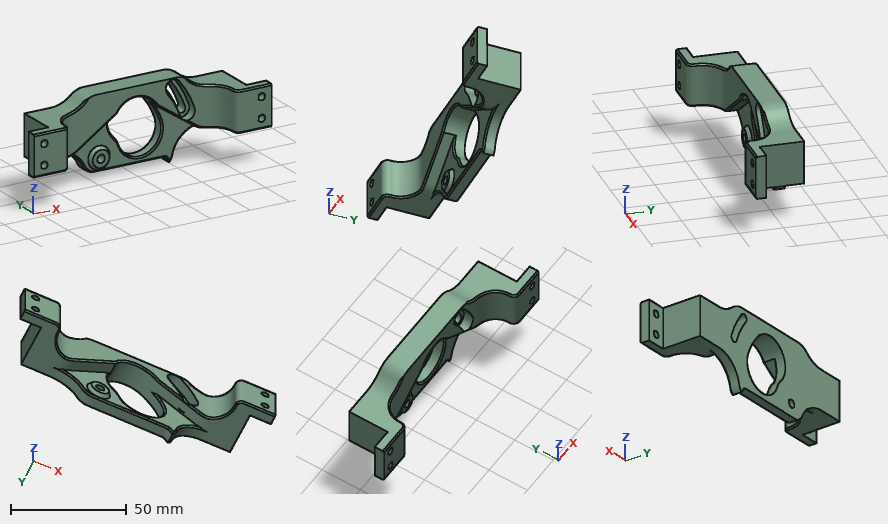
import cadquery as cq
import math


half_length = 60
block_end_x = 50.0
arm_inner_x = 42
flange_front = 24.8
flange_back = 20.0
upper_thickness = 11.2
flange_round = 3.0
arm_round = 10.0

arm_height = 19.9
plate_top = 26.3
top_flat_half = 20.0
shoulder_round = 10.0
valley_radius = 15.0
edge_chamfer = 0.7

slope_angle = math.radians(34)
slope_foot_x = 32.4
slope_foot_round = 10.0
slope_top_x = 3.6

lower_thickness = 5.4
lower_bottom = -12
lower_corner_round = 6
spur_tip = (20.3, -15.0)
spur_slope = math.radians(54)
spur_bend_radius = 1.5
spur_shoulder_z = -12

window_center_z = arm_height / 2
window_radius = 11.0
pivot_distance = 22.0
window_start = math.radians(19.7)
window_end = math.radians(45)
pivot_x = -pivot_distance * math.cos(window_end)
pivot_z = window_center_z - pivot_distance * math.sin(window_end)

slot_distance = 43.8
slot_start = math.radians(19.8)
slot_end = math.radians(38.8)
slot_radius = 1.9
slot_recess_radius = 3.8
slot_recess_depth = 4.8

boss_height = 1.8
boss_base_radius = 5.5
boss_top_radius = 4.2
boss_hole_radius = 1.9

screw_radius = 1.7
screw_x = 55.0
screw_pitch = 10.0

margin = 12


def front_plane(depth=0):
    """Plane seen from the front (local x = X, local y = Z), at a distance in front of the back face."""
    return cq.Workplane("XZ", origin=(0, -depth, 0))


def arc_point(center, radius, angle):
    return (center[0] + radius * math.cos(angle), center[1] + radius * math.sin(angle))


def mirrored(point):
    return (-point[0], point[1])


def plan_body():
    """Half section of arm and plate, rounded, mirrored and extruded over the full height."""
    low = -margin
    height = plate_top + 3 * margin
    half = (
        cq.Workplane("XY", origin=(0, 0, low))
        .polyline([
            (0, 0),
            (block_end_x, 0),
            (block_end_x, -flange_back),
            (half_length, -flange_back),
            (half_length, -flange_front),
            (arm_inner_x, -flange_front),
            (arm_inner_x, -upper_thickness),
            (0, -upper_thickness),
        ])
        .close()
        .extrude(height)
    )
    middle = low + height / 2
    flange_corner = cq.selectors.NearestToPointSelector((arm_inner_x, -flange_front, middle))
    arm_corner = cq.selectors.NearestToPointSelector((arm_inner_x, -upper_thickness, middle))
    half = half.edges(flange_corner).fillet(flange_round)
    half = half.edges(arm_corner).fillet(arm_round)
    return half.union(half.mirror("YZ"))


valley_turn = math.acos(1 - (plate_top - arm_height) / (valley_radius + shoulder_round))
valley_x = top_flat_half + (valley_radius + shoulder_round) * math.sin(valley_turn)


def upper_body():
    """Arms and upper plate, with the front edges chamfered up to where each shoulder begins."""
    valley_center = (valley_x, arm_height + valley_radius)
    valley_mid = arc_point(valley_center, valley_radius, math.radians(225))
    valley_end = arc_point(valley_center, valley_radius, math.radians(180))
    foot_setback = slope_foot_round * math.tan(slope_angle / 2)
    foot_center = (slope_foot_x + foot_setback, slope_foot_round)
    foot_mid = arc_point(foot_center, slope_foot_round, -math.pi / 2 - slope_angle / 2)
    foot_end = arc_point(foot_center, slope_foot_round, -math.pi / 2 - slope_angle)
    slope_top = (slope_top_x, (slope_foot_x - slope_top_x) * math.tan(slope_angle))

    band = (
        front_plane()
        .moveTo(half_length, 0)
        .lineTo(half_length, arm_height)
        .lineTo(valley_x, arm_height)
        .threePointArc(valley_mid, valley_end)
        .lineTo(*mirrored(valley_end))
        .threePointArc(mirrored(valley_mid), (-valley_x, arm_height))
        .lineTo(-half_length, arm_height)
        .lineTo(-half_length, 0)
        .lineTo(-foot_center[0], 0)
        .threePointArc(mirrored(foot_mid), mirrored(foot_end))
        .lineTo(*mirrored(slope_top))
        .lineTo(*slope_top)
        .lineTo(*foot_end)
        .threePointArc(foot_mid, (foot_center[0], 0))
        .close()
        .extrude(flange_front)
    )
    body = plan_body().intersect(band)
    front_edges = [
        body.edges(cq.selectors.NearestToPointSelector((side * screw_x, -flange_front, z))).val()
        for side in (-1, 1)
        for z in (0, arm_height)
    ]
    body = body.newObject(front_edges).chamfer(edge_chamfer)

    shoulder_center = (top_flat_half, plate_top - shoulder_round)
    shoulder_mid = arc_point(shoulder_center, shoulder_round, math.pi / 2 - valley_turn / 2)
    shoulder_end = arc_point(shoulder_center, shoulder_round, math.pi / 2 - valley_turn)
    valley_half = arc_point(valley_center, valley_radius, -math.pi / 2 - valley_turn / 2)
    envelope = (
        front_plane()
        .moveTo(-half_length, -margin)
        .lineTo(half_length, -margin)
        .lineTo(half_length, arm_height)
        .lineTo(valley_x, arm_height)
        .threePointArc(valley_half, shoulder_end)
        .threePointArc(shoulder_mid, (top_flat_half, plate_top))
        .lineTo(-top_flat_half, plate_top)
        .threePointArc(mirrored(shoulder_mid), mirrored(shoulder_end))
        .threePointArc(mirrored(valley_half), (-valley_x, arm_height))
        .lineTo(-half_length, arm_height)
        .close()
        .extrude(flange_front)
    )
    return body.intersect(envelope)


def lower_plate():
    """Thin plate under the slopes, with a rounded corner at -X and a pointed spur at +X."""
    valley_center = (-valley_x, -valley_radius)
    corner_z = lower_bottom + lower_corner_round
    reach = valley_radius + lower_corner_round
    turn = math.asin((corner_z + valley_radius) / reach)
    corner_center = arc_point(valley_center, reach, turn)
    junction = arc_point(valley_center, valley_radius, turn)
    left_mid = arc_point(valley_center, valley_radius, (math.pi / 2 + turn) / 2)
    corner_mid = arc_point(corner_center, lower_corner_round, (turn + math.pi + 1.5 * math.pi) / 2)

    right_center = mirrored(valley_center)
    spur_turn = math.pi - math.asin((spur_shoulder_z + valley_radius) / valley_radius)
    spur_shoulder = arc_point(right_center, valley_radius, spur_turn)
    right_mid = arc_point(right_center, valley_radius, (math.pi / 2 + spur_turn) / 2)

    away = spur_turn + math.pi
    rise = (spur_shoulder[0] - spur_tip[0], spur_shoulder[1] - spur_tip[1])
    back_radius = math.hypot(*rise) ** 2 / (2 * (rise[0] * math.cos(away) + rise[1] * math.sin(away)))
    back_center = arc_point(spur_shoulder, -back_radius, away)
    tip_angle = math.atan2(spur_tip[1] - back_center[1], spur_tip[0] - back_center[0])
    shoulder_angle = away - 2 * math.pi
    spur_back_mid = arc_point(back_center, back_radius, (tip_angle + shoulder_angle) / 2)

    bend_drop = spur_bend_radius * (1 - math.cos(spur_slope))
    bend_run = spur_bend_radius * math.sin(spur_slope)
    flank_run = (lower_bottom - bend_drop - spur_tip[1]) / math.tan(spur_slope)
    bend_center = (spur_tip[0] - flank_run - bend_run, lower_bottom - spur_bend_radius)
    bend_mid = arc_point(bend_center, spur_bend_radius, math.pi / 2 - spur_slope / 2)
    bend_end = arc_point(bend_center, spur_bend_radius, math.pi / 2 - spur_slope)

    plate = (
        front_plane()
        .moveTo(-valley_x, 0)
        .threePointArc(left_mid, junction)
        .threePointArc(corner_mid, (corner_center[0], lower_bottom))
        .lineTo(bend_center[0], lower_bottom)
        .threePointArc(bend_mid, bend_end)
        .lineTo(*spur_tip)
        .threePointArc(spur_back_mid, spur_shoulder)
        .threePointArc(right_mid, (valley_x, 0))
        .lineTo(valley_x, arm_height / 2)
        .lineTo(slope_foot_x, arm_height)
        .lineTo(-slope_foot_x, arm_height)
        .lineTo(-valley_x, arm_height / 2)
        .close()
        .extrude(lower_thickness)
    )
    rim = plate.faces("<Y").edges(cq.selectors.BoxSelector(
        (-half_length, -flange_front, 2 * lower_bottom), (half_length, 0, -0.1)))
    return rim.chamfer(edge_chamfer)


def swept_cutter(distance, start, end, radius, front, back=0):
    """Prism of a round cutter turned about the pivot, from one distance off the back face to another."""
    pivot = (pivot_x, pivot_z)
    middle = (start + end) / 2
    first = arc_point(pivot, distance, start)
    last = arc_point(pivot, distance, end)
    inner = distance - radius
    outer = distance + radius
    return (
        front_plane(back)
        .moveTo(*arc_point(pivot, outer, start))
        .threePointArc(arc_point(pivot, outer, middle), arc_point(pivot, outer, end))
        .threePointArc(arc_point(last, radius, end + math.pi / 2), arc_point(pivot, inner, end))
        .threePointArc(arc_point(pivot, inner, middle), arc_point(pivot, inner, start))
        .threePointArc(arc_point(first, radius, start - math.pi / 2), arc_point(pivot, outer, start))
        .close()
        .extrude(front - back)
    )


def cut_window(plate, thickness):
    """Cut the window through a plate and chamfer its front rim."""
    window = swept_cutter(pivot_distance, window_start, window_end, window_radius, thickness)
    flare = swept_cutter(
        pivot_distance,
        window_start,
        window_end,
        window_radius + edge_chamfer,
        thickness + edge_chamfer,
        thickness - edge_chamfer,
    )
    flare = flare.faces(">Y").edges().chamfer(edge_chamfer)
    return plate.cut(window).cut(flare)


def boss():
    cone = cq.Solid.makeCone(
        boss_base_radius,
        boss_top_radius,
        boss_height,
        cq.Vector(pivot_x, -lower_thickness, pivot_z),
        cq.Vector(0, -1, 0),
    )
    return cq.Workplane(cone)


def round_cutter(points, radius, front):
    return front_plane().pushPoints(points).circle(radius).extrude(front)


upper = cut_window(upper_body(), upper_thickness)
lower = cut_window(lower_plate(), lower_thickness)
body = upper.union(lower).union(boss())

slot = swept_cutter(slot_distance, slot_start, slot_end, slot_radius, upper_thickness)
recess = swept_cutter(
    slot_distance,
    slot_start,
    slot_end,
    slot_recess_radius,
    upper_thickness,
    upper_thickness - slot_recess_depth,
)
boss_hole = round_cutter([(pivot_x, pivot_z)], boss_hole_radius, lower_thickness + boss_height)
screw_points = [
    (side * screw_x, arm_height / 2 + level * screw_pitch / 2)
    for side in (-1, 1)
    for level in (-1, 1)
]
screw_holes = round_cutter(screw_points, screw_radius, flange_front)

result = body.cut(slot).cut(recess).cut(boss_hole).cut(screw_holes)